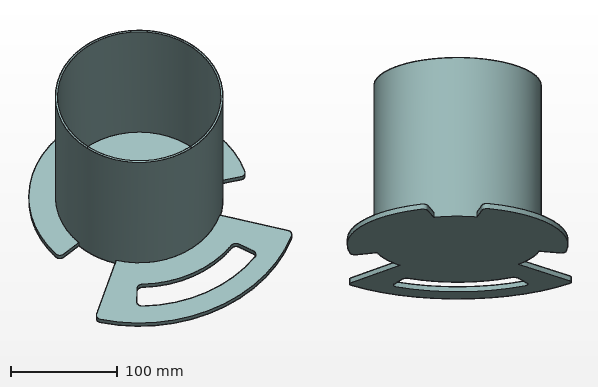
import cadquery as cq
import math

cup_diameter = 157.0
bore_diameter = 153.0
cup_height = 158.0

plate_thickness = 5.0
large_tab_radius = 150.0
tab_span = 90
small_tab_starts = (30, 150)
large_tab_start = 270
corner_radius = 5.0

overall_width = 253.5
large_tab_reach = corner_radius + math.sqrt((large_tab_radius - corner_radius) ** 2 - corner_radius**2)
small_tab_radius = overall_width - large_tab_reach

slot_inner_radius = 104.0
slot_outer_radius = 129.7
slot_margin_angle = 15
slot_corner_radius = 5.0


def polar(radius, angle):
    """Point at the given radius and angle (degrees) from the cup axis."""
    return (radius * math.cos(math.radians(angle)), radius * math.sin(math.radians(angle)))


def sector(radius, start):
    """Tab reaching from the cup axis to the radius, with rounded outer corners."""
    end = start + tab_span
    middle = start + tab_span / 2
    outline = (
        cq.Workplane("XY")
        .lineTo(*polar(radius, start))
        .threePointArc(polar(radius, middle), polar(radius, end))
        .close()
    )
    tab = outline.extrude(plate_thickness)
    axis_edge = cq.selectors.NearestToPointSelector((0, 0, plate_thickness / 2))
    return tab.edges(cq.StringSyntaxSelector("|Z") - axis_edge).fillet(corner_radius)


def curved_slot():
    """Cutter for the slot, bounded by two concentric arcs and two radial ends."""
    start = large_tab_start + slot_margin_angle
    end = large_tab_start + tab_span - slot_margin_angle
    middle = (start + end) / 2
    return (
        cq.Workplane("XY")
        .moveTo(*polar(slot_inner_radius, start))
        .lineTo(*polar(slot_outer_radius, start))
        .threePointArc(polar(slot_outer_radius, middle), polar(slot_outer_radius, end))
        .lineTo(*polar(slot_inner_radius, end))
        .threePointArc(polar(slot_inner_radius, middle), polar(slot_inner_radius, start))
        .close()
        .extrude(plate_thickness)
        .edges("|Z")
        .fillet(slot_corner_radius)
    )


result = cq.Workplane("XY").circle(cup_diameter / 2).extrude(cup_height)
for tab_start in small_tab_starts:
    result = result.union(sector(small_tab_radius, tab_start))
result = result.union(sector(large_tab_radius, large_tab_start).cut(curved_slot()))

bore = (
    cq.Workplane("XY")
    .workplane(offset=plate_thickness)
    .circle(bore_diameter / 2)
    .extrude(cup_height - plate_thickness)
)
result = result.cut(bore)